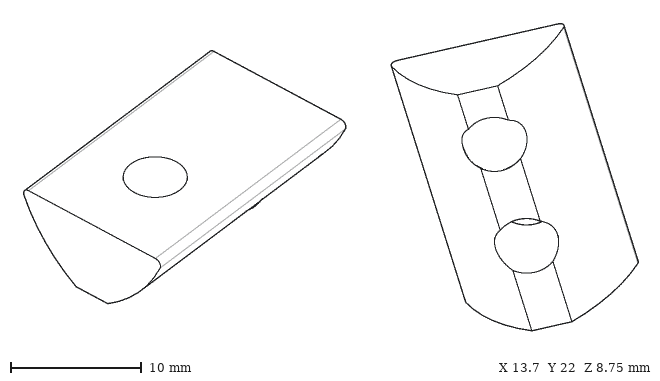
import cadquery as cq
import math

length = 22.0
width = 13.7
body_height = 7.0
total_height = 8.75
bottom_flat_width = 3.17
side_arc_radius = 14.08
edge_radius = 0.5

hole_diameter = 4.9
hole_y = -3.5
ball_diameter = 5.0
ball_y = 6.0


def side_profile():
    """Points of the +X half, from the foot of the side arc up to the flat top."""
    foot_x = bottom_flat_width / 2
    foot_z = -body_height
    edge_x = width / 2 - edge_radius
    edge_z = -edge_radius

    edge_distance = side_arc_radius - edge_radius
    dx = edge_x - foot_x
    dz = edge_z - foot_z
    span = math.hypot(dx, dz)
    along = (side_arc_radius**2 - edge_distance**2 + span**2) / (2 * span)
    across = math.sqrt(side_arc_radius**2 - along**2)
    center_x = foot_x + (along * dx - across * dz) / span
    center_z = foot_z + (along * dz + across * dx) / span

    foot_angle = math.atan2(foot_z - center_z, foot_x - center_x)
    tangent_angle = math.atan2(edge_z - center_z, edge_x - center_x)
    middle_angle = (foot_angle + tangent_angle) / 2

    def on_side_arc(angle):
        return (
            center_x + side_arc_radius * math.cos(angle),
            center_z + side_arc_radius * math.sin(angle),
        )

    round_angle = (math.pi / 2 + tangent_angle) / 2
    round_middle = (
        edge_x + edge_radius * math.cos(round_angle),
        edge_z + edge_radius * math.sin(round_angle),
    )
    arc_middle = on_side_arc(middle_angle)
    tangent = on_side_arc(tangent_angle)
    return (foot_x, foot_z), arc_middle, tangent, round_middle, (edge_x, 0)


def mirrored(point):
    return (-point[0], point[1])


def make_body():
    foot, arc_middle, tangent, round_middle, top = side_profile()
    return (
        cq.Workplane("XZ")
        .moveTo(*mirrored(foot))
        .lineTo(*foot)
        .threePointArc(arc_middle, tangent)
        .threePointArc(round_middle, top)
        .lineTo(*mirrored(top))
        .threePointArc(mirrored(round_middle), mirrored(tangent))
        .threePointArc(mirrored(arc_middle), mirrored(foot))
        .close()
        .extrude(length / 2, both=True)
    )


def make_hole():
    return cq.Workplane("XY").center(0, hole_y).circle(hole_diameter / 2).extrude(-body_height)


def make_ball():
    ball_z = -total_height + ball_diameter / 2
    return cq.Workplane("XY").sphere(ball_diameter / 2).translate((0, ball_y, ball_z))


result = make_body().cut(make_hole()).union(make_ball())